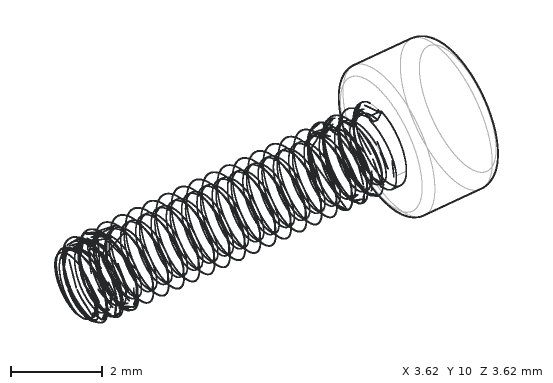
import cadquery as cq
import math


head_diameter = 3.62
head_height = 2.0
top_fillet = 0.3
underside_fillet = 0.2

shank_radius = 1.0
shank_length = 8.0
tip_radius = 0.8
tip_chamfer_length = 0.3

pitch = 0.4
flank_angle = math.radians(30)
flank_slope = math.tan(flank_angle)
thread_depth = 5 / 8 * pitch * math.cos(flank_angle)
root_flat = pitch / 4
groove_start = 0.14
cutter_overlap = 0.02

screw_frame = cq.Plane(origin=(0, 0, 0), xDir=(0, 0, 1), normal=(0, -1, 0))


def make_head():
    """Plain cylinder with both rims rounded."""
    head = cq.Workplane(screw_frame).circle(head_diameter / 2).extrude(-head_height)
    head = head.faces(">Y").edges().fillet(top_fillet)
    return head.faces("<Y").edges().fillet(underside_fillet)


def make_shank():
    """Round rod ending in a cone that narrows to the tip."""
    outline = cq.Workplane("XY").polyline([
        (0, 0),
        (shank_radius, 0),
        (shank_radius, -shank_length + tip_chamfer_length),
        (tip_radius, -shank_length),
        (0, -shank_length),
    ]).close()
    return outline.revolve(360, (0, 0, 0), (0, 1, 0))


def make_thread_groove():
    """Helical trapezoid that starts abruptly at +Z below the head and runs out past the tip."""
    root_radius = shank_radius - thread_depth
    outer_radius = shank_radius + cutter_overlap
    root_half = root_flat / 2
    outer_half = root_half + (outer_radius - root_radius) * flank_slope
    helix_height = shank_length + pitch - groove_start

    helix = cq.Wire.makeHelix(pitch, helix_height, root_radius, center=cq.Vector(0, 0, groove_start))
    profile = cq.Workplane("XZ").polyline([
        (root_radius, groove_start - root_half),
        (outer_radius, groove_start - outer_half),
        (outer_radius, groove_start + outer_half),
        (root_radius, groove_start + root_half),
    ]).close()
    groove = profile.sweep(cq.Workplane(helix), isFrenet=True)
    return cq.Workplane(groove.val().moved(cq.Location(screw_frame)))


threaded_shank = make_shank().cut(make_thread_groove(), clean=False)
result = make_head().union(threaded_shank, clean=False)